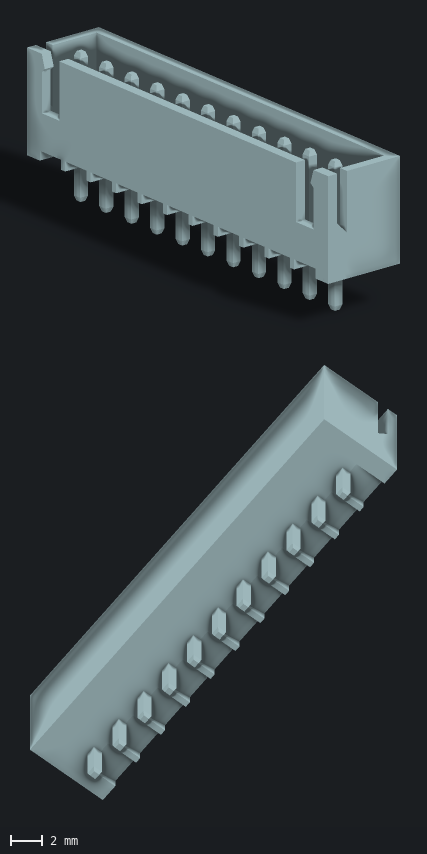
import cadquery as cq


body_length = 30.07
body_width = 5.84
body_height = 7.25
total_height = 10.21

side_wall = 0.68
back_wall = 0.73
front_wall = 0.73
floor_thickness = 1.2

pin_count = 11
pin_pitch = 2.54
pin_side = 0.64
pin_tip_side = 0.4
pin_tip_length = 0.35
pin_top_gap = 0.15
pin_front_offset = 2.48

key_slot_inset = 1.47
key_slot_width = 1.75
key_slot_depth = 4.0
barb_projection = 0.3
barb_peak_depth = 0.95
barb_end_depth = 1.2

end_slot_width = 0.8
end_slot_depth = 4.15

relief_width = 2.13
relief_height = 0.67
relief_reach = 2.25

front_y = -pin_front_offset
back_y = front_y + body_width
inner_front_y = front_y + front_wall
pin_bottom_z = body_height - total_height
pin_top_z = body_height - pin_top_gap
pin_positions = [(i - (pin_count - 1) / 2) * pin_pitch for i in range(pin_count)]


def box(x_min, x_max, y_min, y_max, z_min, z_max):
    """Axis-aligned box between two opposite corners."""
    size = (x_max - x_min, y_max - y_min, z_max - z_min)
    return cq.Workplane("XY").box(*size, centered=False).translate((x_min, y_min, z_min))


def make_shroud():
    """Open-topped rectangular housing."""
    half_length = body_length / 2
    inner_half = half_length - side_wall
    outer = box(-half_length, half_length, front_y, back_y, 0, body_height)
    inner_back_y = back_y - back_wall
    cavity = box(-inner_half, inner_half, inner_front_y, inner_back_y, floor_thickness, body_height)
    return outer.cut(cavity)


def make_key_slot():
    """Left-hand front wall slot, narrowed near the rim by a barb on its outer side."""
    outer_x = -body_length / 2 + key_slot_inset
    inner_x = outer_x + key_slot_width
    outline = [
        (outer_x, body_height),
        (outer_x + barb_projection, body_height - barb_peak_depth),
        (outer_x, body_height - barb_end_depth),
        (outer_x, body_height - key_slot_depth),
        (inner_x, body_height - key_slot_depth),
        (inner_x, body_height),
    ]
    profile = cq.Workplane("XZ", origin=(0, inner_front_y, 0)).polyline(outline).close()
    return profile.extrude(front_wall)


def make_end_slots():
    """Slot along the inner face of the front wall, opening both end walls."""
    slot_back_y = inner_front_y + end_slot_width
    outline = [
        (inner_front_y, body_height),
        (slot_back_y, body_height),
        (slot_back_y, body_height - end_slot_depth),
        (inner_front_y, body_height - end_slot_depth + end_slot_width),
    ]
    profile = cq.Workplane("YZ").polyline(outline).close()
    return profile.extrude(body_length / 2, both=True)


def make_relief(pin_x):
    """Triangular wedge removed from the lower front edge in front of one pin."""
    outline = [(front_y, 0), (front_y + relief_reach, 0), (front_y, relief_height)]
    profile = cq.Workplane("YZ", origin=(pin_x, 0, 0)).polyline(outline).close()
    return profile.extrude(relief_width / 2, both=True)


def make_pin_tip(base_z, direction):
    """Square taper from base_z, pointing up (+1) or down (-1)."""
    base = cq.Workplane("XY", origin=(0, 0, base_z)).rect(pin_side, pin_side)
    end = base.workplane(offset=direction * pin_tip_length).rect(pin_tip_side, pin_tip_side)
    return end.loft(ruled=True)


def make_pin():
    """Square pin with a tapered tip at each end."""
    half = pin_side / 2
    shaft_bottom = pin_bottom_z + pin_tip_length
    shaft_top = pin_top_z - pin_tip_length
    shaft = box(-half, half, -half, half, shaft_bottom, shaft_top)
    return shaft.union(make_pin_tip(shaft_bottom, -1)).union(make_pin_tip(shaft_top, 1))


key_slot = make_key_slot()
result = make_shroud().cut(key_slot).cut(key_slot.mirror("YZ")).cut(make_end_slots())

pin = make_pin()
for pin_x in pin_positions:
    result = result.cut(make_relief(pin_x))
    result = result.union(pin.translate((pin_x, 0, 0)))